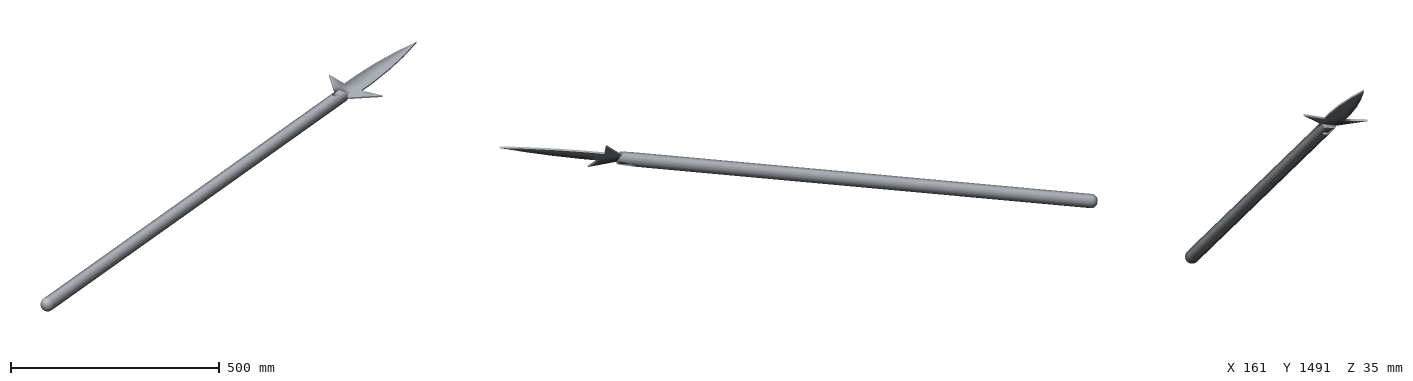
import cadquery as cq

total_length = 1491.0
shaft_diameter = 35.0
shaft_length = 1194.0
shaft_radius = shaft_diameter / 2

butt_round = 15.0

blade_thickness = 5.0
blade_half_width = 25.0
blade_base_half_width = 22.0
blade_base_y = 1193.0
blade_straight_end_y = 1282.0
bulge_half_width = 18.0
bulge_y = 1385.0
barb_span = 161.0
barb_tip_y = 1248.0
barb_root_y = 1236.0

recess_half_width = 12.0
recess_end_half_width = 6.0
recess_end_y = 1157.0
recess_floor_z = 10.0


def make_shaft():
    """Round shaft with a domed butt and a plain head end."""
    shaft = cq.Workplane("XZ").circle(shaft_radius).extrude(-shaft_length)
    return shaft.faces("<Y").edges().fillet(butt_round)


def make_blade():
    """Leaf-shaped flat blade, centred on the shaft axis."""
    outline = (
        cq.Workplane("XY", origin=(0, 0, -blade_thickness / 2))
        .moveTo(-blade_base_half_width, blade_base_y)
        .lineTo(-barb_span / 2, barb_tip_y)
        .lineTo(-blade_half_width, barb_root_y)
        .lineTo(-blade_half_width, blade_straight_end_y)
        .threePointArc((-bulge_half_width, bulge_y), (0, total_length))
        .threePointArc((bulge_half_width, bulge_y), (blade_half_width, blade_straight_end_y))
        .lineTo(blade_half_width, barb_root_y)
        .lineTo(barb_span / 2, barb_tip_y)
        .lineTo(blade_base_half_width, blade_base_y)
        .close()
    )
    return outline.extrude(blade_thickness)


def make_recess_cutter():
    """Tapered block that cuts the recess on the upper side."""
    return (
        cq.Workplane("XY", origin=(0, 0, recess_floor_z))
        .moveTo(-recess_half_width, shaft_length)
        .lineTo(-recess_end_half_width, recess_end_y)
        .lineTo(recess_end_half_width, recess_end_y)
        .lineTo(recess_half_width, shaft_length)
        .close()
        .extrude(shaft_radius)
    )


upper_recess = make_recess_cutter()
lower_recess = upper_recess.mirror("XY")
result = make_shaft().cut(upper_recess).cut(lower_recess).union(make_blade())